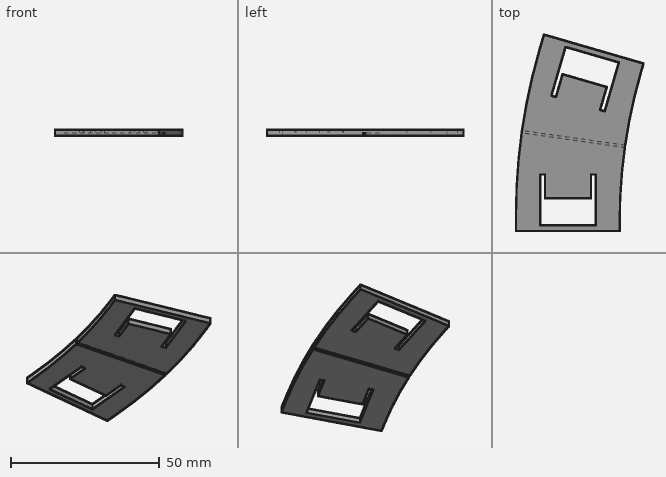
import cadquery as cq
import math

thickness = 2.1
length = 66.4
end_width = 35.05
bend_angle = 16.2
outer_straight = 5.6
inner_straight = 3.2

window_offset = 8.2
window_width = 18.65
window_length = 17.05
end_border = 2.05
leg_width = 1.5
leg_length = 8.0

groove_width = 0.8
groove_depth = 1.0

half_angle = math.radians(bend_angle / 2)
mid_y = length / 2
mid_x = mid_y * math.tan(half_angle)


def mirrored(point):
    """Reflect a point across the tilted symmetry line."""
    dx = point[0] - mid_x
    dy = point[1] - mid_y
    cos_bend = math.cos(2 * half_angle)
    sin_bend = math.sin(2 * half_angle)
    return (mid_x + dx * cos_bend - dy * sin_bend, mid_y - dx * sin_bend - dy * cos_bend)


def arc_middle(start):
    """Middle of the arc that leaves `start` along +Y and ends at its mirror point."""
    end = mirrored(start)
    half_chord = math.dist(start, end) / 2
    sagitta = half_chord * math.tan(half_angle / 2)
    return (
        (start[0] + end[0]) / 2 - sagitta * math.cos(half_angle),
        (start[1] + end[1]) / 2 + sagitta * math.sin(half_angle),
    )


def make_plate():
    outer_corner = (0, 0)
    inner_corner = (end_width, 0)
    outer_start = (0, outer_straight)
    inner_start = (end_width, inner_straight)
    return (
        cq.Workplane("XY")
        .moveTo(*outer_corner)
        .lineTo(*outer_start)
        .threePointArc(arc_middle(outer_start), mirrored(outer_start))
        .lineTo(*mirrored(outer_corner))
        .lineTo(*mirrored(inner_corner))
        .lineTo(*mirrored(inner_start))
        .threePointArc(arc_middle(inner_start), inner_start)
        .lineTo(*inner_corner)
        .close()
        .extrude(thickness)
    )


def window_outline():
    """U-shaped opening around the tongue at the end on the X axis."""
    left = window_offset
    right = left + window_width
    bottom = end_border
    top = bottom + window_length
    tongue_end = top - leg_length
    return [
        (left, bottom),
        (right, bottom),
        (right, top),
        (right - leg_width, top),
        (right - leg_width, tongue_end),
        (left + leg_width, tongue_end),
        (left + leg_width, top),
        (left, top),
    ]


def make_window(outline):
    return cq.Workplane("XY").polyline(outline).close().extrude(thickness)


def make_groove():
    """Shallow groove across the underside, along the symmetry line."""
    groove_length = 3 * end_width
    return (
        cq.Workplane("XY")
        .box(groove_length, groove_width, groove_depth, centered=(True, True, False))
        .rotate((0, 0, 0), (0, 0, 1), -bend_angle / 2)
        .translate((mid_x, mid_y, 0))
    )


near_window = window_outline()
far_window = [mirrored(point) for point in near_window]

result = make_plate()
for outline in (near_window, far_window):
    result = result.cut(make_window(outline))
result = result.cut(make_groove())